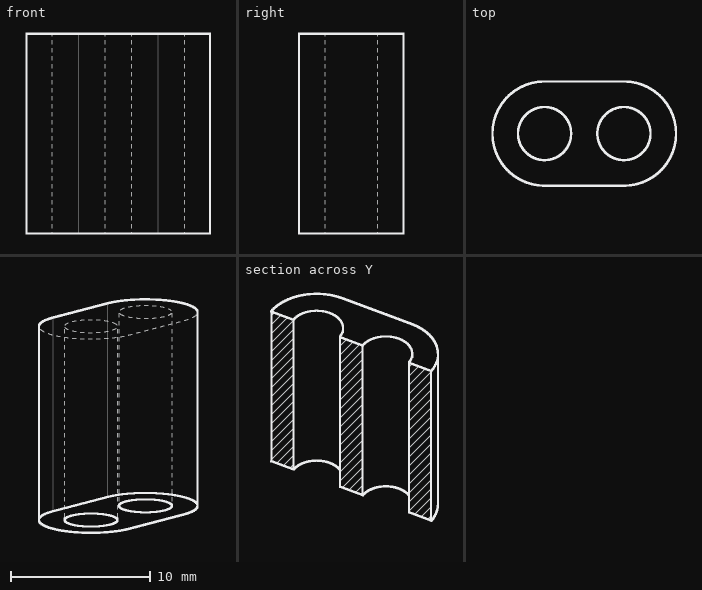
import cadquery as cq

length = 13.2
width = 7.5
height = 14.35
bore_diameter = 3.8

bore_spacing = length - width

body = cq.Workplane("XY").slot2D(length, width).extrude(height)

bore_centers = [(-bore_spacing / 2, 0), (bore_spacing / 2, 0)]
bores = cq.Workplane("XY").pushPoints(bore_centers).circle(bore_diameter / 2).extrude(height)

result = body.cut(bores)